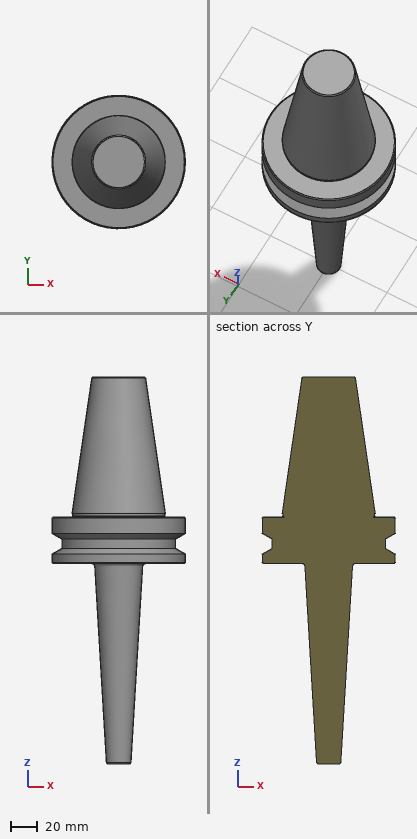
import cadquery as cq
import math

total_length = 289.8
shank_length = 101.7
nose_end = shank_length - total_length

gauge_radius = 34.92
taper_ratio = 7 / 24
shank_end_radius = gauge_radius - shank_length * taper_ratio / 2
shank_chamfer = 1.0

neck_radius = 34.5
neck_top = -0.5
neck_undercut = 1.0

flange_radius = 50.0
flange_top = -3.2
flange_bottom = -38.0
flange_chamfer = 1.0
groove_radius = 42.5
groove_floor_top = -19.7
groove_floor_bottom = -26.7
groove_side_height = (flange_radius - groove_radius) * math.tan(math.radians(30))

nose_top_radius = 18.0
nose_root_fillet = 2.5
nose_tip_radius = 9.3
tip_chamfer = 1.2

shank = [
    (0, shank_length),
    (shank_end_radius - shank_chamfer, shank_length),
    (shank_end_radius + shank_chamfer * taper_ratio / 2, shank_length - shank_chamfer),
    (gauge_radius, 0),
]
neck = [
    (gauge_radius, neck_top),
    (neck_radius, neck_top),
    (neck_radius, flange_top + neck_undercut),
    (neck_radius - neck_undercut, flange_top),
]
flange = [
    (flange_radius - flange_chamfer, flange_top),
    (flange_radius, flange_top - flange_chamfer),
    (flange_radius, groove_floor_top + groove_side_height),
    (groove_radius, groove_floor_top),
    (groove_radius, groove_floor_bottom),
    (flange_radius, groove_floor_bottom - groove_side_height),
    (flange_radius, flange_bottom + flange_chamfer),
    (flange_radius - flange_chamfer, flange_bottom),
]
fillet_start = (nose_top_radius + nose_root_fillet, flange_bottom)
fillet_end = (nose_top_radius, flange_bottom - nose_root_fillet)
fillet_sag = nose_root_fillet * (1 - math.sqrt(0.5))
fillet_middle = (nose_top_radius + fillet_sag, flange_bottom - fillet_sag)
nose = [
    (nose_tip_radius, nose_end + tip_chamfer),
    (nose_tip_radius - tip_chamfer, nose_end),
    (0, nose_end),
]

result = (
    cq.Workplane("XZ")
    .polyline(shank + neck + flange + [fillet_start])
    .threePointArc(fillet_middle, fillet_end)
    .polyline(nose, includeCurrent=True)
    .close()
    .revolve(360, (0, 0, 0), (0, 1, 0))
)